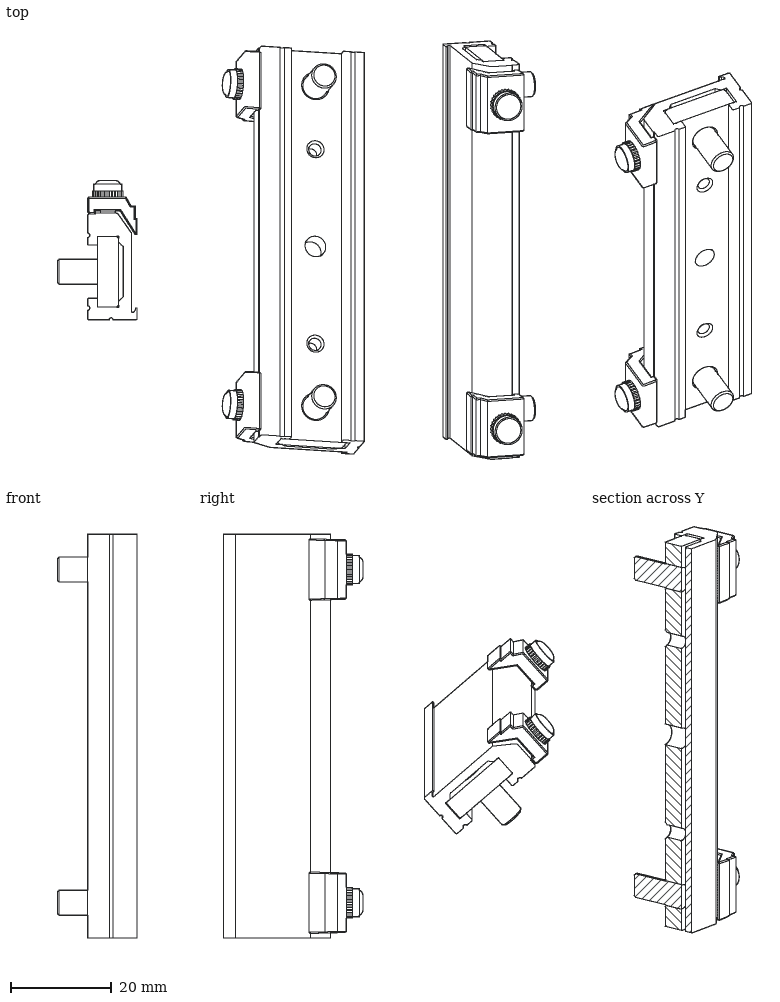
import cadquery as cq
import math


rail_length = 80.0
rail_width = 9.8
rail_height = 21.2
web_back = 8.7
corner_round = 0.3
front_top_round = 0.35
shoulder_x = 5.9
shoulder_y = 17.2
shoulder_round = 0.8

lip_height = 2.4
lip_thickness = 0.35
lip_groove_floor = 1.55
lip_groove_width = 0.4
lip_ramp_top = 2.0

seat_end = 1.55
seat_depth = 0.2
seat_floor = rail_height - seat_depth

slot_y = 9.55
slot_mouth_half = 5.25
slot_mouth_round = 0.25
slot_half = 7.0
slot_front = 1.9
slot_back = 6.15
relief_half_front = 5.8
relief_half_back = 4.95
relief_back = 7.05

bottom_mark_x = 4.65
bottom_mark_half_width = 0.35
front_mark_half_width = 0.45
mark_depth = 0.4
front_mark_offset = 7.2

insert_thickness = slot_back - slot_front
insert_corner_radius = 1.25
insert_back_chamfer = 0.4
center_hole_diameter = 4.2
small_hole_z = 20.0
small_hole_diameter = 2.5
small_hole_countersink = 3.5
end_distance = 7.0
fastener_z = rail_length / 2 - end_distance
stud_diameter = 5.0
stud_tip_x = -6.0
stud_tip_chamfer = 0.35
stud_countersink = 5.6

clamp_length = 11.8
clamp_draft = 1.5
clamp_top = 24.35
clamp_underside = 21.6
clamp_front_round = 0.35
clamp_edge_chamfer = 0.25
foot_chamfer = 0.35
knee_x = 6.4
tip_y = 16.9
tip_x = 9.4
tip_land_top = 20.1
clamp_back = 9.45
back_shelf_y = 22.6
back_shelf_x = 8.6
top_end_x = 7.6

screw_x = 4.0
shank_diameter = 3.0
shank_depth = 4.0
shank_end = rail_height - shank_depth
washer_diameter = 6.1
washer_top = 25.55
washer_teeth = 28
washer_tooth_depth = 0.2
head_diameter = 5.6
head_side_top = 26.9
head_top = 27.64
dome_base_radius = 2.5
dome_middle_radius = 2.2
dome_middle_y = 27.33
dome_crown_radius = 1.6


def extrude_centered(profile, length):
    """Extrude an XY profile along Z, equally to both sides of Z = 0."""
    return profile.extrude(length / 2, both=True)


def rod_along_x(diameter, x_start, x_end, z):
    """Cylinder along X on the slot centre line."""
    return (
        cq.Workplane("YZ", origin=(x_start, slot_y, z))
        .circle(diameter / 2)
        .extrude(x_end - x_start)
    )


def rod_along_y(diameter, y_start, y_end, z):
    """Cylinder along Y on the clamp screw line."""
    return (
        cq.Workplane("XZ", origin=(screw_x, y_start, z))
        .circle(diameter / 2)
        .extrude(y_start - y_end)
    )


def countersink_cutter(front_diameter, back_diameter, z):
    """45-degree cone sunk into the front face of the insert."""
    depth = (front_diameter - back_diameter) / 2
    cone = cq.Solid.makeCone(
        front_diameter / 2, back_diameter / 2, depth,
        cq.Vector(slot_front, slot_y, z), cq.Vector(1, 0, 0),
    )
    return cq.Workplane(cone)


def round_edges_at(body, points, radius):
    """Fillet the lengthwise edges that pass through the given XY points."""
    for x, y in points:
        edge = cq.selectors.NearestToPointSelector((x, y, 0))
        body = body.edges("|Z").edges(edge).fillet(radius)
    return body


def make_rail():
    outline = cq.Workplane("XY").polyline([
        (0, 0),
        (rail_width, 0),
        (rail_width, lip_height),
        (rail_width - lip_thickness, lip_height),
        (rail_width - lip_thickness, lip_ramp_top),
        (web_back + lip_groove_width, lip_groove_floor),
        (web_back, lip_groove_floor),
        (web_back, shoulder_y),
        (shoulder_x, rail_height),
        (seat_end, rail_height),
        (seat_end, seat_floor),
        (front_top_round, seat_floor),
    ])
    outline = (
        outline
        .radiusArc((0, seat_floor - front_top_round), -front_top_round)
        .close()
    )
    rail = extrude_centered(outline, rail_length)
    rail = round_edges_at(rail, [(0, 0), (rail_width, 0)], corner_round)
    rail = round_edges_at(rail, [(shoulder_x, rail_height)], shoulder_round)
    rail = cut_t_slot(rail)
    rail = cut_marks(rail)
    for z in (-fastener_z, fastener_z):
        rail = rail.cut(rod_along_y(shank_diameter, shank_end, rail_height, z))
    return rail


def cut_t_slot(rail):
    slot = cq.Workplane("XY").polyline([
        (0, slot_y - slot_mouth_half),
        (slot_front, slot_y - slot_mouth_half),
        (slot_front, slot_y - slot_half),
        (slot_back, slot_y - slot_half),
        (slot_back, slot_y - relief_half_front),
        (relief_back, slot_y - relief_half_back),
        (relief_back, slot_y + relief_half_back),
        (slot_back, slot_y + relief_half_front),
        (slot_back, slot_y + slot_half),
        (slot_front, slot_y + slot_half),
        (slot_front, slot_y + slot_mouth_half),
        (0, slot_y + slot_mouth_half),
    ]).close()
    rail = rail.cut(extrude_centered(slot, rail_length))
    mouth_corners = [(0, slot_y - slot_mouth_half), (0, slot_y + slot_mouth_half)]
    return round_edges_at(rail, mouth_corners, slot_mouth_round)


def cut_marks(rail):
    bottom_mark = (
        cq.Workplane("XY")
        .moveTo(bottom_mark_x - bottom_mark_half_width, 0)
        .threePointArc((bottom_mark_x, mark_depth), (bottom_mark_x + bottom_mark_half_width, 0))
        .close()
    )
    rail = rail.cut(extrude_centered(bottom_mark, rail_length))
    for side in (-1, 1):
        mark_y = slot_y + side * front_mark_offset
        front_mark = (
            cq.Workplane("XY")
            .moveTo(0, mark_y - front_mark_half_width)
            .threePointArc((mark_depth, mark_y), (0, mark_y + front_mark_half_width))
            .close()
        )
        rail = rail.cut(extrude_centered(front_mark, rail_length))
    return rail


def make_insert():
    section = (
        cq.Workplane("XY")
        .center(slot_front + insert_thickness / 2, slot_y)
        .rect(insert_thickness, 2 * slot_half)
    )
    bar = extrude_centered(section, rail_length)
    bar = bar.faces(">X").edges("|Z").chamfer(insert_back_chamfer)
    rounded_plate = (
        cq.Workplane("YZ", origin=(slot_front, slot_y, 0))
        .rect(2 * slot_half, rail_length)
        .extrude(insert_thickness)
        .edges("|X").fillet(insert_corner_radius)
    )
    bar = bar.intersect(rounded_plate)

    bar = bar.cut(rod_along_x(center_hole_diameter, slot_front, slot_back, 0))
    for side in (-1, 1):
        for z, diameter, countersink in (
            (side * small_hole_z, small_hole_diameter, small_hole_countersink),
            (side * fastener_z, stud_diameter, stud_countersink),
        ):
            bar = bar.cut(rod_along_x(diameter, slot_front, slot_back, z))
            bar = bar.cut(countersink_cutter(countersink, diameter, z))
    return bar


def make_stud(z):
    stud = rod_along_x(stud_diameter, stud_tip_x, slot_back, z)
    return stud.faces("<X").chamfer(stud_tip_chamfer)


def make_clamp(z):
    outline = cq.Workplane("XY").polyline([
        (0, seat_floor + foot_chamfer),
        (foot_chamfer, seat_floor),
        (seat_end, seat_floor),
        (seat_end, clamp_underside),
        (knee_x, clamp_underside),
        (tip_x, tip_y),
        (rail_width, tip_y),
        (rail_width, tip_land_top),
        (clamp_back, tip_land_top),
        (clamp_back, back_shelf_y),
        (back_shelf_x, back_shelf_y),
        (top_end_x, clamp_top),
        (clamp_front_round, clamp_top),
    ])
    outline = (
        outline
        .radiusArc((0, clamp_top - clamp_front_round), -clamp_front_round)
        .close()
    )
    top_half = clamp_length / 2
    tip_half = top_half + (clamp_top - tip_y) * math.tan(math.radians(clamp_draft))
    drafted_block = (
        cq.Workplane("YZ")
        .polyline([(tip_y, -tip_half), (tip_y, tip_half), (clamp_top, top_half), (clamp_top, -top_half)])
        .close()
        .extrude(rail_width)
    )
    clamp = extrude_centered(outline, 2 * tip_half).intersect(drafted_block)
    clamp = clamp.faces("<Z or >Z").chamfer(clamp_edge_chamfer)
    clamp = clamp.translate((0, 0, z))
    return clamp.cut(rod_along_y(shank_diameter, seat_floor, clamp_top, z))


def make_washer(z):
    outer_radius = washer_diameter / 2
    half_pitch = math.pi / washer_teeth
    rim = []
    for i in range(2 * washer_teeth):
        radius = outer_radius - washer_tooth_depth * (i % 2)
        rim.append((radius * math.cos(i * half_pitch), radius * math.sin(i * half_pitch)))
    disc = (
        cq.Workplane("XZ", origin=(screw_x, clamp_top, z))
        .polyline(rim)
        .close()
        .extrude(clamp_top - washer_top)
    )
    return disc.cut(rod_along_y(shank_diameter, clamp_top, washer_top, z))


def make_screw(z):
    profile = (
        cq.Workplane("XY")
        .moveTo(0, shank_end)
        .lineTo(shank_diameter / 2, shank_end)
        .lineTo(shank_diameter / 2, washer_top)
        .lineTo(head_diameter / 2, washer_top)
        .lineTo(head_diameter / 2, head_side_top)
        .lineTo(dome_base_radius, head_side_top)
        .threePointArc((dome_middle_radius, dome_middle_y), (dome_crown_radius, head_top))
        .lineTo(0, head_top)
        .close()
    )
    return profile.revolve(360, (0, 0, 0), (0, 1, 0)).translate((screw_x, 0, z))


rail = make_rail()
insert = make_insert()
bodies = [rail.solids().val(), insert.solids().val()]
for fastener_position in (-fastener_z, fastener_z):
    for make_body in (make_stud, make_clamp, make_washer, make_screw):
        bodies.append(make_body(fastener_position).solids().val())

result = cq.Compound.makeCompound(bodies)